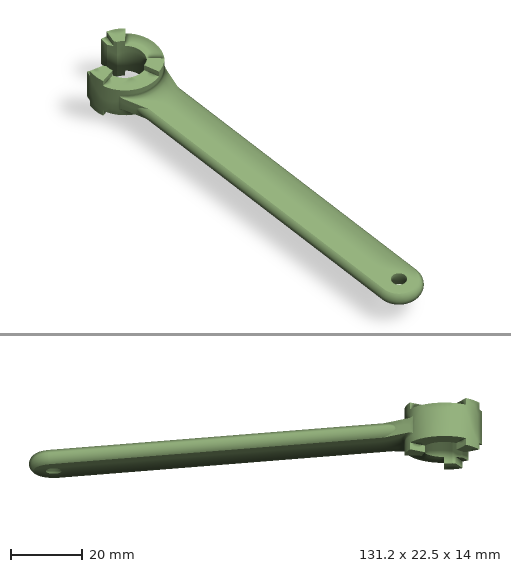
import cadquery as cq
import math

head_radius = 11.25
bore_radius = 6.3
jaw_height = 10.0

lug_height = 14.0
lug_half_angle = 14.0
lug_directions = (30.0, 150.0, 270.0)

mouth_direction = 210.0
mouth_half_width = 5.0
mouth_half_angle = 36.5

handle_width = 14.0
handle_thickness = 4.3
edge_bulge = 1.2
hanging_hole_diameter = 4.5
handle_end = 120.0

neck_start_x = 6.0
neck_start_half_width = 9.1
neck_end_x = 16.3
neck_fillet = 0.6

flat_half_width = handle_width / 2 - edge_bulge
hole_x = handle_end - handle_width / 2


def polar(radius, degrees):
    """Point in the XY plane at a radius and an angle from +X."""
    angle = math.radians(degrees)
    return (radius * math.cos(angle), radius * math.sin(angle))


def centred_disc(radius, height):
    """Cylinder on the Z axis, centred on the XY plane."""
    return cq.Workplane("XY").circle(radius).extrude(height / 2, both=True)


def handle_bar():
    """Bar with bulged edges, ending in a disc with the same edge profile."""
    half = handle_thickness / 2
    bar = (
        cq.Workplane("YZ")
        .moveTo(-flat_half_width, -half)
        .lineTo(flat_half_width, -half)
        .threePointArc((handle_width / 2, 0), (flat_half_width, half))
        .lineTo(-flat_half_width, half)
        .threePointArc((-handle_width / 2, 0), (-flat_half_width, -half))
        .close()
        .extrude(hole_x)
    )
    round_end = (
        cq.Workplane("XZ")
        .moveTo(0, -half)
        .lineTo(flat_half_width, -half)
        .threePointArc((handle_width / 2, 0), (flat_half_width, half))
        .lineTo(0, half)
        .close()
        .revolve(360, (0, 0, 0), (0, 1, 0))
        .translate((hole_x, 0, 0))
    )
    return bar.union(round_end)


def neck():
    """Tapered block with upright flanks joining the handle to the head."""
    return (
        cq.Workplane("XY")
        .moveTo(0, -neck_start_half_width)
        .lineTo(neck_start_x, -neck_start_half_width)
        .lineTo(neck_end_x, -flat_half_width)
        .lineTo(neck_end_x, flat_half_width)
        .lineTo(neck_start_x, neck_start_half_width)
        .lineTo(0, neck_start_half_width)
        .close()
        .extrude(handle_thickness / 2, both=True)
    )


def sector(direction, half_angle, height):
    """Wedge with its point on the Z axis, reaching past the head."""
    reach = 2 * head_radius
    return (
        cq.Workplane("XY")
        .lineTo(*polar(reach, direction - half_angle))
        .lineTo(*polar(reach, direction + half_angle))
        .close()
        .extrude(height / 2, both=True)
    )


def castle_head():
    """Disc at the full lug height, cut down to the jaw faces between the lugs."""
    head = centred_disc(head_radius, lug_height)
    lug_spacing = 360 / len(lug_directions)
    gap_half_angle = lug_spacing / 2 - lug_half_angle
    face_offset = (jaw_height + lug_height) / 2
    for direction in lug_directions:
        gap = sector(direction + lug_spacing / 2, gap_half_angle, lug_height)
        for side in (-1, 1):
            head = head.cut(gap.translate((0, 0, side * face_offset)))
    return head


def mouth():
    """Cutter for the opening: a parallel slot and a wider radial sector outside it."""
    shoulder_radius = mouth_half_width / math.sin(math.radians(mouth_half_angle))
    shoulder_depth = shoulder_radius * math.cos(math.radians(mouth_half_angle))
    slot = (
        cq.Workplane("XY")
        .rect(shoulder_depth, 2 * mouth_half_width)
        .extrude(lug_height / 2, both=True)
        .translate((shoulder_depth / 2, 0, 0))
        .rotate((0, 0, 0), (0, 0, 1), mouth_direction)
    )
    return slot.union(sector(mouth_direction, mouth_half_angle, lug_height))


def blend_neck(body):
    """Fillet the seams where the flat handle faces meet the outside of the head."""
    half = handle_thickness / 2
    margin = neck_fillet / 2
    for z in (-half, half):
        seam_zone = cq.selectors.BoxSelector(
            (0, -head_radius, z - margin), (head_radius + margin, head_radius, z + margin), boundingbox=True
        )
        body = body.edges(seam_zone).edges("%CIRCLE").fillet(neck_fillet)
    return body


body = castle_head().union(handle_bar().union(neck()))
body = blend_neck(body)
body = body.cut(centred_disc(bore_radius, lug_height)).cut(mouth())
hanging_hole = centred_disc(hanging_hole_diameter / 2, handle_thickness).translate((hole_x, 0, 0))
result = body.cut(hanging_hole)